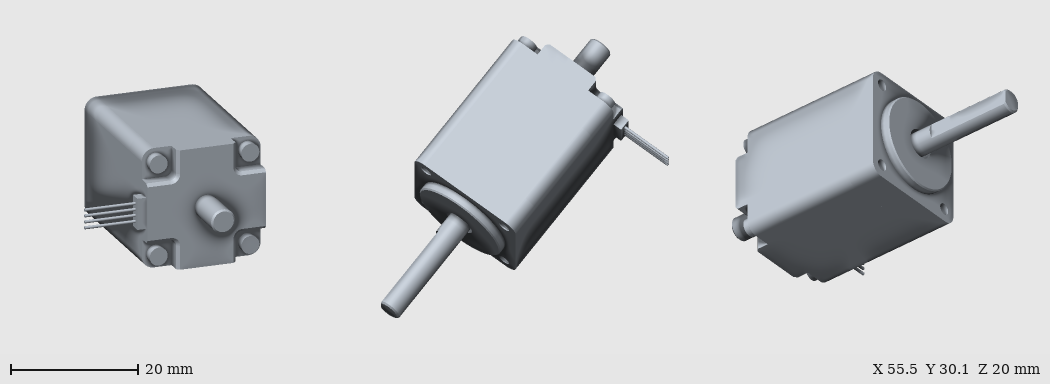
import cadquery as cq

FRAME_SIDE = 20.0
CORNER_RADIUS = 2.0
FRONT_CAP_END = 5.15
STATOR_END = 20.0
FRAME_END = 28.0

PILOT_DIAMETER = 16.0
PILOT_HEIGHT = 1.5
PILOT_CHAMFER = 0.2
SHAFT_CLEARANCE_DIAMETER = 5.0
MOUNTING_HOLE_DIAMETER = 2.0
SCREW_OFFSET = 7.7

NOTCH_DEPTH = 2.5
NOTCH_SIDE = 5.0
NOTCH_FILLET = 1.0
NOTCH_CHAMFER = 0.5
FLARE_ANGLE = 45
SCREW_HEAD_DIAMETER = 3.0
SCREW_HEAD_HEIGHT = 1.5

SHAFT_DIAMETER = 4.0
SHAFT_START = -20.0
SHAFT_LENGTH = 55.5
SHAFT_CHAMFER = 0.3
FLAT_LENGTH = 15.0
FLAT_HEIGHT = 1.5

CONNECTOR_LENGTH = 2.0
CONNECTOR_DEPTH = 1.5
CONNECTOR_HEIGHT = 5.2
LEAD_COUNT = 4
LEAD_DIAMETER = 0.5
LEAD_PITCH = 1.0
LEAD_LENGTH = 8.55

HALF_SIDE = FRAME_SIDE / 2
NOTCH_FLOOR = FRAME_END - NOTCH_DEPTH
CORNER_SIGNS = [(y, z) for y in (-1, 1) for z in (-1, 1)]


def rod(diameter, start, end):
    """Cylinder on the motor axis from X = start to X = end."""
    return cq.Workplane("YZ", origin=(start, 0, 0)).circle(diameter / 2).extrude(end - start)


def frame_section(start, end):
    """Rounded square block of the motor frame from X = start to X = end."""
    block = cq.Workplane("YZ", origin=(start, 0, 0)).rect(FRAME_SIDE, FRAME_SIDE).extrude(end - start)
    return block.edges("|X").fillet(CORNER_RADIUS)


def screw_pattern(x):
    """The four screw axes as points on the plane at X = x."""
    points = [(y * SCREW_OFFSET, z * SCREW_OFFSET) for y, z in CORNER_SIGNS]
    return cq.Workplane("YZ", origin=(x, 0, 0)).pushPoints(points)


def make_front_cap():
    pilot = rod(PILOT_DIAMETER, -PILOT_HEIGHT, 0).faces("<X").chamfer(PILOT_CHAMFER)
    cap = frame_section(0, FRONT_CAP_END).union(pilot)
    cap = cap.cut(rod(SHAFT_CLEARANCE_DIAMETER, -PILOT_HEIGHT, FRONT_CAP_END))
    return cap.cut(screw_pattern(0).circle(MOUNTING_HOLE_DIAMETER / 2).extrude(FRONT_CAP_END))


def make_stator():
    return frame_section(FRONT_CAP_END, STATOR_END).cut(rod(SHAFT_DIAMETER, FRONT_CAP_END, STATOR_END))


def notch_tool(y_sign, z_sign):
    """Tool for one corner notch: a rounded block that flares out to the rear face."""
    size = 2 * NOTCH_SIDE
    center = (y_sign * HALF_SIDE, z_sign * HALF_SIDE)
    profile = cq.Sketch().rect(size, size).vertices().fillet(NOTCH_FILLET)
    block = cq.Workplane("YZ", origin=(NOTCH_FLOOR, *center)).placeSketch(profile).extrude(NOTCH_DEPTH)
    flare = cq.Workplane("YZ", origin=(FRAME_END - NOTCH_CHAMFER, *center)).placeSketch(profile)
    return block.union(flare.extrude(NOTCH_CHAMFER, taper=-FLARE_ANGLE))


def make_rear_cap():
    cap = frame_section(STATOR_END, FRAME_END)
    for y_sign, z_sign in CORNER_SIGNS:
        cap = cap.cut(notch_tool(y_sign, z_sign))
    heads = screw_pattern(NOTCH_FLOOR).circle(SCREW_HEAD_DIAMETER / 2).extrude(SCREW_HEAD_HEIGHT)
    return cap.union(heads).cut(rod(SHAFT_DIAMETER, STATOR_END, FRAME_END))


def make_shaft():
    end = SHAFT_START + SHAFT_LENGTH
    shaft = rod(SHAFT_DIAMETER, SHAFT_START, end).faces("<X or >X").chamfer(SHAFT_CHAMFER)
    flat_cut = cq.Workplane("XY", origin=(SHAFT_START, FLAT_HEIGHT, 0)).box(
        FLAT_LENGTH, SHAFT_DIAMETER, SHAFT_DIAMETER, centered=(False, False, True)
    )
    return shaft.cut(flat_cut)


def make_connector():
    face_y = -HALF_SIDE - CONNECTOR_DEPTH
    middle_x = NOTCH_FLOOR + CONNECTOR_LENGTH / 2
    housing = cq.Workplane("XY").box(CONNECTOR_LENGTH, CONNECTOR_DEPTH, CONNECTOR_HEIGHT)
    housing = housing.translate((middle_x, face_y + CONNECTOR_DEPTH / 2, 0))
    leads = (
        cq.Workplane("XZ", origin=(middle_x, face_y, 0))
        .rarray(0.55, LEAD_PITCH, 1, LEAD_COUNT)
        .circle(LEAD_DIAMETER / 2)
        .extrude(LEAD_LENGTH)
    )
    return housing.union(leads)


front_cap = make_front_cap()
stator = make_stator()
rear_cap = make_rear_cap()
shaft = make_shaft()
connector = make_connector()

result = cq.Compound.makeCompound(
    [front_cap.val(), stator.val(), rear_cap.val(), shaft.val(), connector.val()]
)